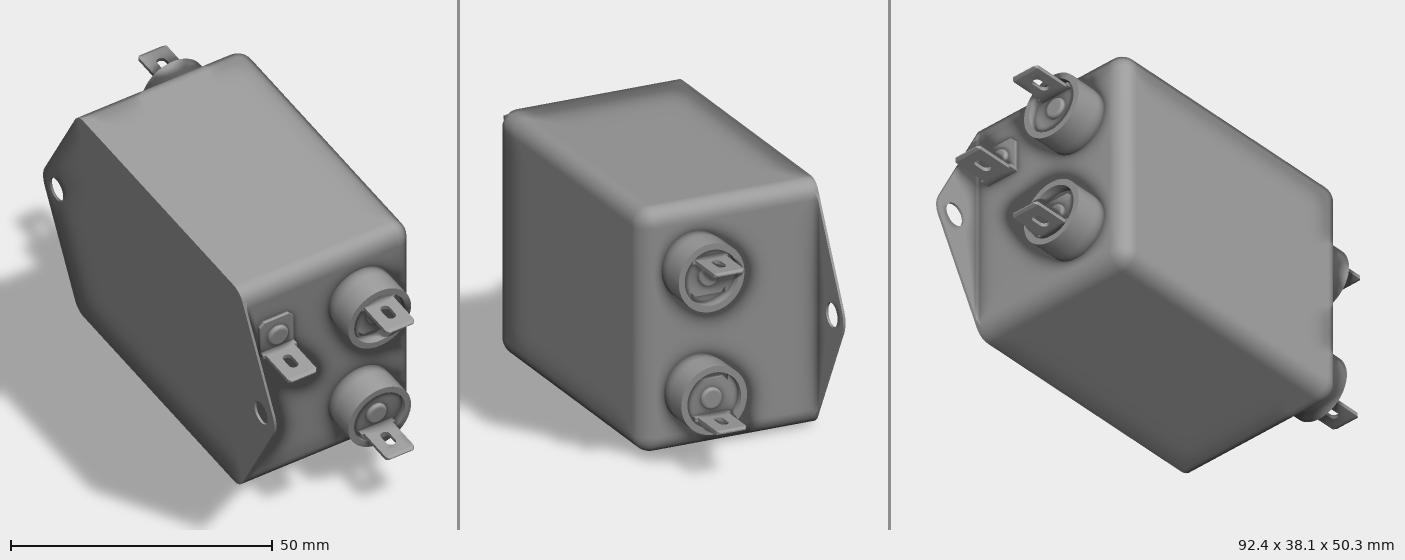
import cadquery as cq
import math


HOUSING_LENGTH = 61.9
HOUSING_DEPTH = 38.1
HOUSING_HEIGHT = 50.3
CORNER_RADIUS = 3.5
FLANGE_THICKNESS = 0.5
FLANGE_BEND_RADIUS = 0.6
FLANGE_TIP_RADIUS = 4.9
MOUNTING_HOLE_X = 37.3
MOUNTING_HOLE_DIAMETER = 4.9

BLADE_TIP_X = 46.2
LINE_TERMINAL_HEIGHT = 10.35
SHEET = 0.8
FOOT_WIDTH = 7.5
FOOT_LENGTH = 7.95
FOOT_CORNER_CHAMFER = 1.0
SHOULDER_HEIGHT = 1.9
BLADE_WIDTH = 6.4
TIP_BEVEL_LENGTH = 0.65
TIP_BEVEL_THICKNESS = 0.3
TIP_BEVEL_WIDTH = 0.6
SLOT_LENGTH = 4.0
SLOT_WIDTH = 1.9
SLOT_TO_TIP = 4.9
RIVET_DIAMETER = 4.4
RIVET_HEIGHT = 0.9
RIVET_EDGE_RADIUS = 0.6
RIVET_TO_BLADE = 4.0

BOSS_DIAMETER = 14.0
BOSS_END_X = 38.25
BORE_DIAMETER = 11.5
BOSS_Z = 12.7
BOSS_Y = 26.1
RAISED_BOSS_Y = 26.6

GROUND_TERMINAL_HEIGHT = 10.6
GROUND_Y = 7.0
GROUND_BLADE_Z = 8.7

END_WALL_X = HOUSING_LENGTH / 2
FOOT_BASE_X = BLADE_TIP_X - LINE_TERMINAL_HEIGHT
BOSS_LENGTH = BOSS_END_X - END_WALL_X
CHANNEL_DEPTH = BOSS_END_X - FOOT_BASE_X
BORE_DEPTH = CHANNEL_DEPTH - SHEET


def make_flange_prism(thickness):
    """Hexagonal prism: lines tangent to the housing corners and to the rounded tips at the holes."""
    corner_x = END_WALL_X - CORNER_RADIUS
    corner_z = HOUSING_HEIGHT / 2 - CORNER_RADIUS
    tip_to_corner = math.hypot(MOUNTING_HOLE_X - corner_x, corner_z)
    slope = math.atan2(MOUNTING_HOLE_X - corner_x, corner_z)
    slope += math.asin((FLANGE_TIP_RADIUS - CORNER_RADIUS) / tip_to_corner)

    def on_corner(angle, side_x, side_z):
        x = corner_x + CORNER_RADIUS * math.cos(angle)
        z = corner_z + CORNER_RADIUS * math.sin(angle)
        return (side_x * x, side_z * z)

    def on_tip(side_x, side_z):
        x = MOUNTING_HOLE_X + FLANGE_TIP_RADIUS * math.cos(slope)
        return (side_x * x, side_z * FLANGE_TIP_RADIUS * math.sin(slope))

    corner_top = math.pi / 2
    corner_middle = (slope + corner_top) / 2
    tip_x = MOUNTING_HOLE_X + FLANGE_TIP_RADIUS
    outline = cq.Workplane("XZ").moveTo(*on_corner(corner_top, -1, 1))
    for side in (1, -1):
        outline = (
            outline.lineTo(*on_corner(corner_top, side, side))
            .threePointArc(on_corner(corner_middle, side, side), on_corner(slope, side, side))
            .lineTo(*on_tip(side, side))
            .threePointArc((side * tip_x, 0), on_tip(side, -side))
            .lineTo(*on_corner(slope, side, -side))
            .threePointArc(on_corner(corner_middle, side, -side), on_corner(corner_top, side, -side))
        )
    plate = outline.close().extrude(-thickness)
    holes = (
        cq.Workplane("XZ")
        .pushPoints([(-MOUNTING_HOLE_X, 0), (MOUNTING_HOLE_X, 0)])
        .circle(MOUNTING_HOLE_DIAMETER / 2)
        .extrude(-thickness)
    )
    return plate.cut(holes)


def make_housing():
    """Box rounded on all but its mounting face, blended into the flange by a small fillet."""
    box = (
        cq.Workplane("XY")
        .box(HOUSING_LENGTH, HOUSING_DEPTH, HOUSING_HEIGHT)
        .translate((0, HOUSING_DEPTH / 2, 0))
        .edges("|Y or >Y")
        .fillet(CORNER_RADIUS)
    )
    oversize = 2 * HOUSING_HEIGHT
    blend = (
        cq.Workplane("XZ")
        .rect(HOUSING_LENGTH + oversize, HOUSING_HEIGHT + oversize)
        .extrude(-FLANGE_THICKNESS)
        .union(box)
    )
    box_foot = cq.selectors.BoxSelector(
        (-MOUNTING_HOLE_X, FLANGE_THICKNESS / 2, -HOUSING_HEIGHT),
        (MOUNTING_HOLE_X, FLANGE_THICKNESS * 3 / 2, HOUSING_HEIGHT),
    )
    blend = blend.edges(box_foot).fillet(FLANGE_BEND_RADIUS)
    flange = make_flange_prism(FLANGE_THICKNESS + FLANGE_BEND_RADIUS).intersect(blend)
    return box.union(flange)


def make_terminal(height):
    """Terminal standing along +X from X = 0, rivet axis on the X axis, blade on the +Z side."""
    foot = (
        cq.Workplane("XY")
        .box(SHEET, FOOT_WIDTH, FOOT_LENGTH, centered=(False, True, False))
        .translate((0, 0, RIVET_TO_BLADE - FOOT_LENGTH))
        .edges("|X and <Z")
        .chamfer(FOOT_CORNER_CHAMFER)
    )
    blade_z = RIVET_TO_BLADE - SHEET / 2
    shoulder = (
        cq.Workplane("XY")
        .box(SHOULDER_HEIGHT, FOOT_WIDTH, SHEET, centered=(False, True, True))
        .translate((0, 0, blade_z))
    )
    bevel_start_x = height - TIP_BEVEL_LENGTH
    blade = (
        cq.Workplane("XY")
        .box(bevel_start_x, BLADE_WIDTH, SHEET, centered=(False, True, True))
        .faces(">X")
        .workplane()
        .rect(BLADE_WIDTH, SHEET)
        .workplane(offset=TIP_BEVEL_LENGTH)
        .rect(BLADE_WIDTH - 2 * TIP_BEVEL_WIDTH, SHEET - 2 * TIP_BEVEL_THICKNESS)
        .loft(ruled=True)
        .translate((0, 0, blade_z))
    )
    slot = (
        cq.Workplane("XY")
        .center(height - SLOT_TO_TIP, 0)
        .slot2D(SLOT_LENGTH, SLOT_WIDTH)
        .extrude(2 * RIVET_TO_BLADE)
    )
    rivet = (
        cq.Workplane("YZ")
        .circle(RIVET_DIAMETER / 2)
        .extrude(SHEET + RIVET_HEIGHT)
        .edges(">X")
        .fillet(RIVET_EDGE_RADIUS)
    )
    return foot.union(shoulder).union(blade).cut(slot).union(rivet)


def make_boss():
    """Boss standing along +X from X = 0, open at its far end, channel closed on the +Z side."""
    body = cq.Workplane("YZ").circle(BOSS_DIAMETER / 2).extrude(BOSS_LENGTH)
    bore = (
        cq.Workplane("YZ", origin=(BOSS_LENGTH - BORE_DEPTH, 0, 0))
        .circle(BORE_DIAMETER / 2)
        .extrude(BORE_DEPTH)
    )
    channel_length = RIVET_TO_BLADE + BORE_DIAMETER / 2
    channel = (
        cq.Workplane("XY")
        .box(CHANNEL_DEPTH, FOOT_WIDTH, channel_length, centered=(False, True, False))
        .translate((0, 0, RIVET_TO_BLADE - channel_length))
    )
    bore_cylinder = cq.Workplane("YZ").circle(BORE_DIAMETER / 2).extrude(CHANNEL_DEPTH)
    channel = channel.intersect(bore_cylinder).translate((BOSS_LENGTH - CHANNEL_DEPTH, 0, 0))
    return body.cut(bore).cut(channel)


def place(body, base_x, y, z, side_x, side_z):
    """Move a body made along +X onto the chosen end, with its +Z side facing outwards in Z."""
    placed = body.translate((base_x, y, z))
    if side_x < 0:
        placed = placed.mirror("YZ")
    if side_z < 0:
        placed = placed.mirror("XY")
    return placed


housing = make_housing()

bosses = []
line_terminals = []
for side_x in (-1, 1):
    for side_z in (-1, 1):
        boss_y = RAISED_BOSS_Y if side_x < 0 < side_z else BOSS_Y
        bosses.append(place(make_boss(), END_WALL_X, boss_y, BOSS_Z, side_x, side_z))
        terminal = make_terminal(LINE_TERMINAL_HEIGHT)
        line_terminals.append(place(terminal, FOOT_BASE_X, boss_y, BOSS_Z, side_x, side_z))

ground_terminal = (
    make_terminal(GROUND_TERMINAL_HEIGHT)
    .mirror("XY")
    .translate((END_WALL_X, GROUND_Y, GROUND_BLADE_Z + RIVET_TO_BLADE))
)

result = cq.Compound.makeCompound(
    [
        housing.val(),
        *[boss.val() for boss in bosses],
        *[terminal.val() for terminal in line_terminals],
        ground_terminal.val(),
    ]
)